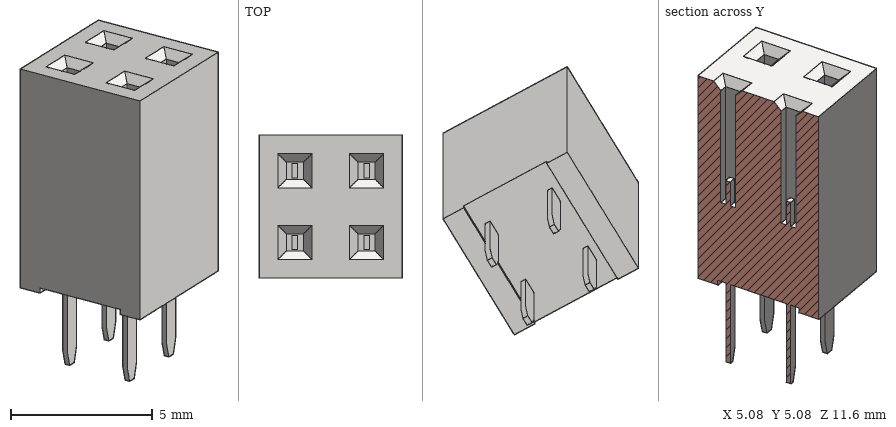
import cadquery as cq

body_side = 5.08
total_height = 11.6
body_height = 8.5
pitch = body_side / 2

channel_width = 3.4
channel_depth = 0.2

bore_side = 0.6
funnel_depth = 0.3
funnel_mouth = bore_side + 2 * funnel_depth
bore_depth = 4.99

pin_thickness = 0.2
pin_width = 0.6
tip_width = 0.3
tip_length = 0.58
contact_width = 0.5
contact_height = 1.0

body_bottom = total_height - body_height
channel_top = body_bottom + channel_depth
funnel_bottom = total_height - funnel_depth
bore_bottom = total_height - bore_depth


def box_between(x_size, y_size, bottom, top):
    """Box centred on the Z axis between two heights."""
    return cq.Workplane("XY").workplane(offset=bottom).rect(x_size, y_size).extrude(top - bottom)


def make_body():
    """Square block with a shallow channel that leaves a foot along two sides."""
    block = box_between(body_side, body_side, body_bottom, total_height)
    channel = box_between(channel_width, body_side, body_bottom, channel_top)
    return block.cut(channel)


def make_socket():
    """Square bore with a tapered lead-in at the top face."""
    funnel = (
        cq.Workplane("XY")
        .workplane(offset=funnel_bottom)
        .rect(bore_side, bore_side)
        .workplane(offset=funnel_depth)
        .rect(funnel_mouth, funnel_mouth)
        .loft(ruled=True)
    )
    bore = box_between(bore_side, bore_side, bore_bottom, funnel_bottom)
    return funnel.union(bore)


def make_pin():
    """Flat pin, tapered to its tip, reaching up to the roof of the channel."""
    outline = (
        cq.Workplane("YZ")
        .moveTo(-tip_width / 2, 0)
        .lineTo(tip_width / 2, 0)
        .lineTo(pin_width / 2, tip_length)
        .lineTo(pin_width / 2, channel_top)
        .lineTo(-pin_width / 2, channel_top)
        .lineTo(-pin_width / 2, tip_length)
        .close()
    )
    return outline.extrude(pin_thickness / 2, both=True)


def make_contact():
    """Flat contact standing on the floor of a bore."""
    return box_between(pin_thickness, contact_width, bore_bottom, bore_bottom + contact_height)


result = make_body()
for x in (-pitch / 2, pitch / 2):
    for y in (-pitch / 2, pitch / 2):
        result = result.cut(make_socket().translate((x, y, 0)))
        result = result.union(make_pin().translate((x, y, 0)))
        result = result.union(make_contact().translate((x, y, 0)))